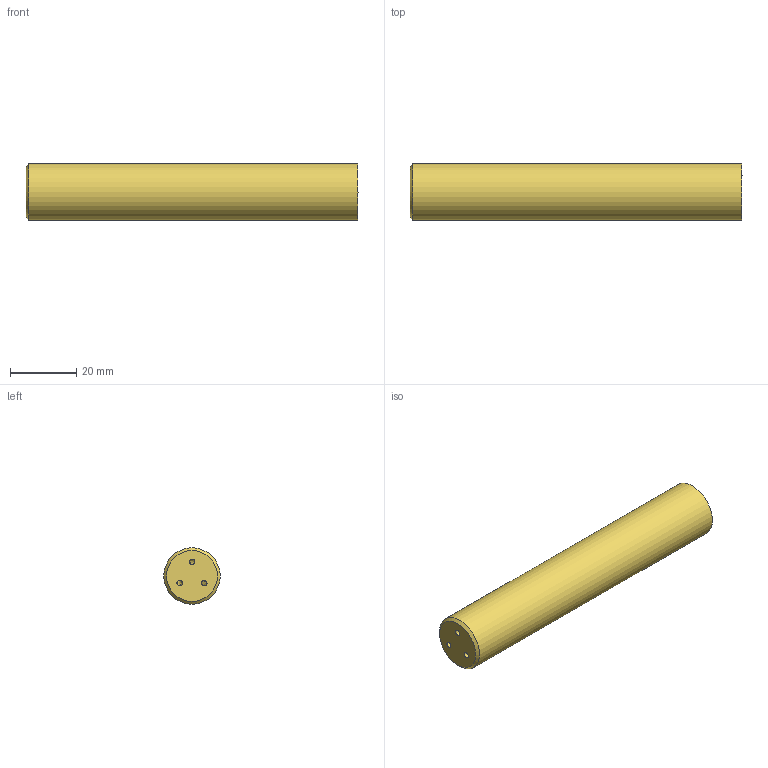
import cadquery as cq
import math

length = 100.0
diameter = 17.0
chamfer = 0.85

duct_count = 3
duct_diameter = 1.7
pitch_circle_diameter = diameter / 2
first_duct_angle = 90.0

helix_angle = 30.0
helix_lead = math.pi * diameter / math.tan(math.radians(helix_angle))
twist_angle = 360 * length / helix_lead


def make_rod():
    """Round rod starting at X = 0, chamfered on that end only."""
    rod = cq.Workplane("YZ").circle(diameter / 2).extrude(length)
    return rod.faces("<X").chamfer(chamfer)


def make_ducts():
    """Cutters for all ducts, round across the rod and twisted about the X axis."""
    return (
        cq.Workplane("YZ")
        .polarArray(pitch_circle_diameter / 2, first_duct_angle, 360, duct_count)
        .circle(duct_diameter / 2)
        .twistExtrude(length, twist_angle)
    )


result = make_rod().cut(make_ducts())